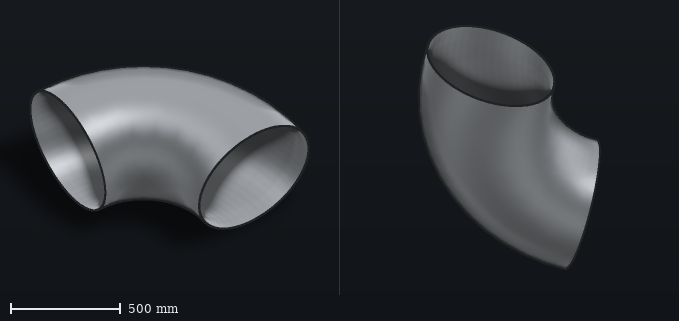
import cadquery as cq

overall_reach = 915.0
outer_diameter = 609.0
wall_thickness = 4.0
bend_angle = 90.0

outer_radius = outer_diameter / 2
inner_radius = outer_radius - wall_thickness
bend_radius = overall_reach - outer_radius


def make_elbow():
    """Sweep the pipe ring a quarter turn about the bend axis, which is the Z axis."""
    ring = (
        cq.Workplane("XZ")
        .center(-bend_radius, 0)
        .circle(outer_radius)
        .circle(inner_radius)
    )
    axis_start = (bend_radius, 0)
    axis_end = (bend_radius, -1)
    return ring.revolve(bend_angle, axis_start, axis_end)


result = make_elbow()